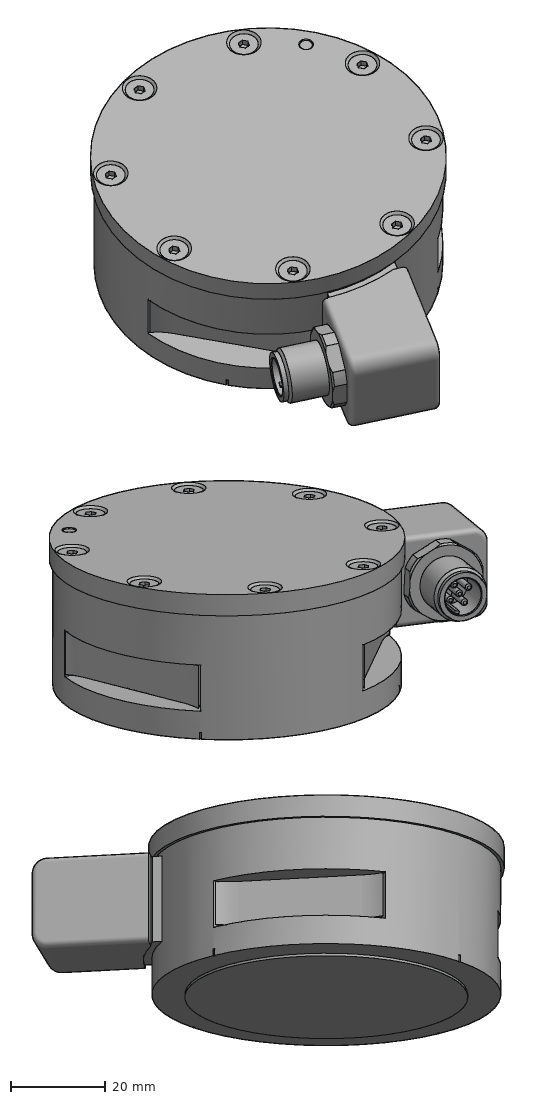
import cadquery as cq
import math

core_proud = 0.57
housing_height = 28.0
cover_thickness = 4.75
housing_bottom = core_proud
housing_top = housing_bottom + housing_height
cover_top = housing_top + cover_thickness

cover_radius = 37.72
housing_radius = 37.0
core_radius = 30.0

window_count = 3
first_window_angle = 90.0
window_span = 60.0
window_bottom = 6.85
window_top = 17.15
lobe_gap_bottom = 0.55
lobe_gap_top = 0.2
lobe_gap_end = 0.5
lobe_radius = 36.9
lobe_face_distance = 31.3
lobe_face_half_width = 13.3

mark_count = 4
first_mark_angle = 60.0
mark_width = 0.4
mark_height = 1.5
mark_depth = 0.3

screw_count = 8
first_screw_angle = 37.5
screw_circle_radius = 33.8
screw_rim_diameter = 7.3
screw_head_diameter = 6.1
screw_head_depth = 0.5
hex_across_corners = 2.4
hex_depth = 1.3
dot_angle = 150.0
dot_rim_diameter = 3.1
dot_floor_diameter = 2.7
dot_depth = 0.2

block_size = 20.0
block_x_min = 34.6
block_x_max = 59.83
block_y_min = 0.6
block_z_center = 18.0
block_corner_radius = 3.3
block_edge_radius = 1.2
block_saddle_radius = 38.8
block_y_center = block_y_min + block_size / 2
neck_y_min = 2.2
neck_y_max = 18.5
neck_height = 18.9

connector_x = 48.9
nut_length = 3.2
nut_round_diameter = 17.6
nut_across_flats = 16.6
nut_turn = 3.0
nut_chamfer = 0.4
barrel_diameter = 12.0
barrel_length = 8.2
nose_diameter = 10.8
nose_length = 1.7
nose_taper_length = 0.6
socket_diameter = 8.2
socket_rim_chamfer = 0.2
socket_depth = 8.0
pin_count = 4
pin_circle_radius = 2.4
pin_diameter = 1.5
pin_tip_chamfer = 0.35
pin_length = 6.0
first_pin_angle = 29.0
key_angle = first_pin_angle + 225.0
key_width = 1.0
key_rise = 0.6
key_length = 7.0


def polar(radius, angle):
    """Point on a circle around the Z axis, angle in degrees."""
    return (radius * math.cos(math.radians(angle)), radius * math.sin(math.radians(angle)))


def disc(radius, bottom, top):
    """Solid cylinder on the Z axis between two heights."""
    return cq.Workplane("XY").workplane(offset=bottom).circle(radius).extrude(top - bottom)


def evenly_spaced(count, first_angle):
    """Angles of items shared evenly around a full turn."""
    return [first_angle + i * 360.0 / count for i in range(count)]


def tapered_recess(center, rim_diameter, floor_diameter, depth):
    """Cutter for a shallow conical recess in the top of the cover."""
    return (
        cq.Workplane("XY", origin=(*center, cover_top))
        .circle(rim_diameter / 2)
        .workplane(offset=-depth)
        .circle(floor_diameter / 2)
        .loft()
    )


def make_cover():
    """Round lid with eight sunk screw heads and a small dot recess."""
    cover = disc(cover_radius, housing_top, cover_top)
    for angle in evenly_spaced(screw_count, first_screw_angle):
        center = polar(screw_circle_radius, angle)
        hex_socket = (
            cq.Workplane("XY", origin=(*center, cover_top))
            .polygon(6, hex_across_corners)
            .extrude(-screw_head_depth - hex_depth)
        )
        cover = cover.cut(tapered_recess(center, screw_rim_diameter, screw_head_diameter, screw_head_depth))
        cover = cover.cut(hex_socket)
    dot_center = polar(screw_circle_radius, dot_angle)
    return cover.cut(tapered_recess(dot_center, dot_rim_diameter, dot_floor_diameter, dot_depth))


def window_cutter():
    """Sector around the +X direction that opens the housing wall."""
    reach = 2 * housing_radius
    half_span = window_span / 2
    return (
        cq.Workplane("XY")
        .workplane(offset=window_bottom)
        .polyline([(0, 0), polar(reach, -half_span), polar(reach, half_span)])
        .close()
        .extrude(window_top - window_bottom)
    )


def make_housing():
    """Ring around the core with three windows and four rim marks."""
    housing = disc(housing_radius, housing_bottom, housing_top).cut(disc(core_radius, 0, housing_top))
    for angle in evenly_spaced(window_count, first_window_angle):
        housing = housing.cut(window_cutter().rotate((0, 0, 0), (0, 0, 1), angle))
    mark = cq.Workplane("XY").box(2 * mark_depth, mark_width, mark_height, centered=(True, True, False))
    mark = mark.translate((housing_radius, 0, housing_bottom))
    for angle in evenly_spaced(mark_count, first_mark_angle):
        housing = housing.cut(mark.rotate((0, 0, 0), (0, 0, 1), angle))
    return housing


def make_lobe():
    """Lobe around the +X direction: flat front face that curves outward to a tip at each end."""
    half_span = window_span / 2
    tip_angle = half_span - math.degrees(math.asin(lobe_gap_end / lobe_radius))
    tip_x, tip_y = polar(lobe_radius, tip_angle)
    root_x = lobe_gap_end / math.sin(math.radians(half_span))
    half = (
        cq.Workplane("XY")
        .workplane(offset=window_bottom + lobe_gap_bottom)
        .moveTo(root_x, 0)
        .lineTo(lobe_face_distance, 0)
        .lineTo(lobe_face_distance, lobe_face_half_width)
        .tangentArcPoint((tip_x, tip_y), relative=False)
        .close()
        .extrude(window_top - lobe_gap_top - window_bottom - lobe_gap_bottom)
    )
    return half.union(half.mirror("XZ"))


def make_core():
    """Central cylinder with a lobe reaching into each window."""
    core = disc(core_radius, 0, housing_top)
    for angle in evenly_spaced(window_count, first_window_angle):
        core = core.union(make_lobe().rotate((0, 0, 0), (0, 0, 1), angle))
    return core


def make_plug_block():
    """Rounded block with a curved neck that sits on the housing wall."""
    block = (
        cq.Workplane("XY")
        .box(block_x_max - block_x_min, block_size, block_size, centered=(False, True, True))
        .translate((block_x_min, block_y_center, block_z_center))
        .edges("|Y and >X")
        .fillet(block_corner_radius)
    )
    block = block.faces("<Y or >Y").edges("not <X").fillet(block_edge_radius)
    block = block.cut(disc(block_saddle_radius, 0, cover_top))
    neck = (
        cq.Workplane("XY")
        .box(block_saddle_radius, neck_y_max - neck_y_min, neck_height, centered=(False, False, True))
        .translate((0, neck_y_min, block_z_center))
        .intersect(disc(block_saddle_radius, 0, cover_top))
        .cut(disc(housing_radius, 0, cover_top))
    )
    return block.union(neck)


def connector_plane(distance):
    """Plane across the connector axis, this far out from the block; its normal points along -Y."""
    return cq.Workplane("XZ", origin=(connector_x, block_y_min - distance, block_z_center))


def make_connector():
    """Nut, round barrel with a stepped nose, and an open socket with five pins."""
    nut_round = connector_plane(0).circle(nut_round_diameter / 2).extrude(nut_length)
    nut_round = nut_round.faces("<Y").chamfer(nut_chamfer)
    hexagon = (
        connector_plane(0)
        .transformed(rotate=(0, 0, 30 - nut_turn))
        .polygon(6, nut_across_flats / math.cos(math.radians(30)))
        .extrude(nut_length)
    )
    nut = nut_round.intersect(hexagon)

    barrel_end = nut_length + barrel_length
    nose_end = barrel_end + nose_length
    barrel = connector_plane(nut_length).circle(barrel_diameter / 2).extrude(barrel_length)
    taper = (
        connector_plane(barrel_end)
        .circle(barrel_diameter / 2)
        .workplane(offset=nose_taper_length)
        .circle(nose_diameter / 2)
        .loft()
    )
    nose = connector_plane(barrel_end).circle(nose_diameter / 2).extrude(nose_length)
    socket = connector_plane(nose_end).circle(socket_diameter / 2).extrude(-socket_depth)
    socket_rim = (
        connector_plane(nose_end)
        .circle(socket_diameter / 2 + socket_rim_chamfer)
        .workplane(offset=-socket_rim_chamfer)
        .circle(socket_diameter / 2)
        .loft()
    )
    pin_centers = [polar(pin_circle_radius, a) for a in evenly_spaced(pin_count, first_pin_angle)]
    pins = (
        connector_plane(nose_end - socket_depth)
        .pushPoints([(0, 0)] + pin_centers)
        .circle(pin_diameter / 2)
        .extrude(pin_length)
        .faces("<Y")
        .chamfer(pin_tip_chamfer)
    )
    key = (
        connector_plane(nose_end - socket_depth)
        .transformed(rotate=(0, 0, key_angle))
        .center(socket_diameter / 2, 0)
        .rect(2 * key_rise, key_width)
        .extrude(key_length)
    )
    shell = nut.union(barrel).union(taper).union(nose)
    return shell.cut(socket).cut(socket_rim).union(pins).union(key)


cover = make_cover()
housing = make_housing()
core = make_core()
plug_block = make_plug_block()
connector = make_connector()

result = cq.Compound.makeCompound(
    [body.solids().val() for body in (cover, housing, core, plug_block, connector)]
)